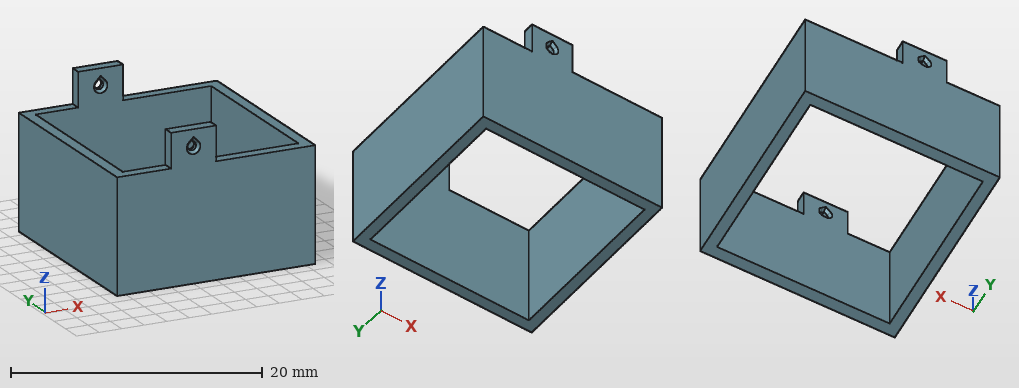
import cadquery as cq
import math

side = 17.6
wall = 1.0
body_height = 10.0

total_height = 13.0
lug_height = total_height - body_height
lug_width = 4.0
lug_left = 4.79
lug_center_x = -side / 2 + lug_left + lug_width / 2

hole_z = body_height + lug_height / 2
wide_radius = 0.6
bore_radius = 0.37
countersink_depth = 0.3


def frame():
    outer = cq.Workplane("XY").rect(side, side).extrude(body_height)
    opening = side - 2 * wall
    return outer.cut(cq.Workplane("XY").rect(opening, opening).extrude(body_height))


def teardrop(sketch_plane, radius):
    """Circle whose upper part runs along 45 degree tangents to a point."""
    tangent = radius * math.sqrt(0.5)
    return (
        sketch_plane.moveTo(-tangent, tangent)
        .threePointArc((0, -radius), (tangent, tangent))
        .lineTo(0, radius * math.sqrt(2))
        .close()
    )


def countersink(face_plane, depth):
    """Taper from the wide outline on a lug face to the bore outline."""
    wide_end = teardrop(face_plane, wide_radius)
    return teardrop(wide_end.workplane(offset=depth), bore_radius).loft(ruled=True)


def lug(front_y):
    """Lug with its -Y face at front_y, pierced by a teardrop hole countersunk at both ends."""
    block = cq.Workplane("XY").box(lug_width, wall, lug_height, centered=(True, False, False))
    block = block.translate((lug_center_x, front_y, body_height))
    front_plane = cq.Workplane("XZ", origin=(lug_center_x, front_y, hole_z))
    back_plane = cq.Workplane("XZ", origin=(lug_center_x, front_y + wall, hole_z))
    block = block.cut(teardrop(front_plane, bore_radius).extrude(-wall))
    block = block.cut(countersink(front_plane, -countersink_depth))
    return block.cut(countersink(back_plane, countersink_depth))


result = frame()
for front_y in (-side / 2, side / 2 - wall):
    result = result.union(lug(front_y))